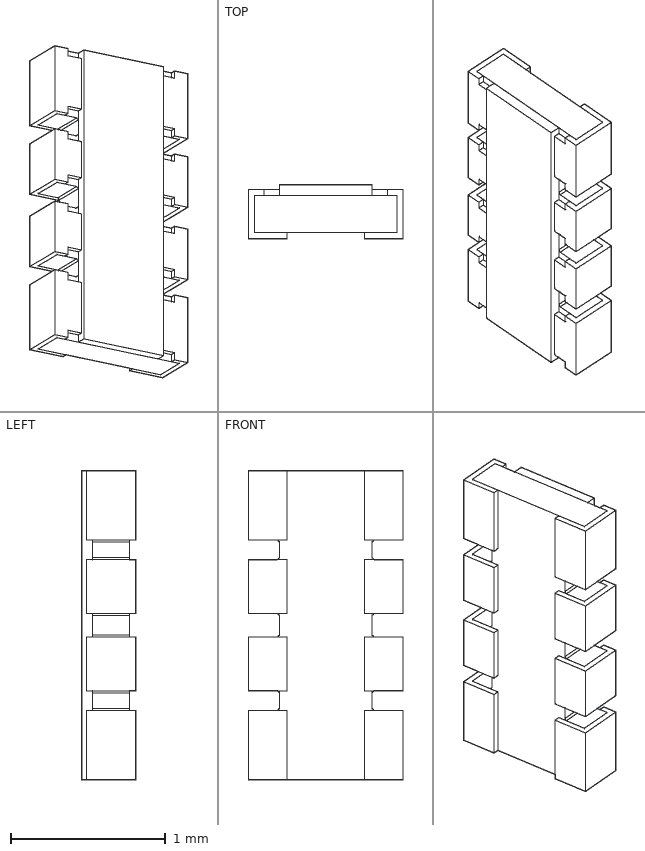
import cadquery as cq

length = 2.0
overall_width = 1.0
overall_depth = 0.35

plating = 0.04
front_lap = 0.25
back_lap = 0.1
tab_setback = 0.05
end_terminal_length = 0.45
inner_terminal_length = 0.35
middle_gap = 0.15

coating_width = 0.6
coating_thickness = 0.07
notch_floor_width = coating_width
notch_corner = 0.0125

substrate_width = overall_width - 2 * plating
substrate_depth = overall_depth - plating - coating_thickness
front_y = -overall_depth / 2
substrate_front_y = front_y + plating
substrate_back_y = substrate_front_y + substrate_depth
terminal_back_y = substrate_back_y + plating

outer_gap = length / 2 - middle_gap / 2 - inner_terminal_length - end_terminal_length
inner_terminal_z = (middle_gap + inner_terminal_length) / 2
end_terminal_z = (length - end_terminal_length) / 2
outer_notch_z = middle_gap / 2 + inner_terminal_length + outer_gap / 2

terminal_rows = [
    (-end_terminal_z, end_terminal_length),
    (-inner_terminal_z, inner_terminal_length),
    (inner_terminal_z, inner_terminal_length),
    (end_terminal_z, end_terminal_length),
]
notch_rows = [
    (-outer_notch_z, outer_gap),
    (0, middle_gap),
    (outer_notch_z, outer_gap),
]


def make_notch(side, center_z, height):
    """Cutter for one edge notch with chamfered inner corners; side is -1 or +1 along X."""
    edge_x = side * overall_width / 2
    floor_x = side * notch_floor_width / 2
    corner_x = floor_x + side * notch_corner
    half_height = height / 2
    half_floor = half_height - notch_corner
    outline = [
        (edge_x, center_z - half_height),
        (corner_x, center_z - half_height),
        (floor_x, center_z - half_floor),
        (floor_x, center_z + half_floor),
        (corner_x, center_z + half_height),
        (edge_x, center_z + half_height),
    ]
    return (
        cq.Workplane("XZ", origin=(0, substrate_front_y, 0))
        .polyline(outline)
        .close()
        .extrude(-substrate_depth)
    )


def make_substrate():
    """Ceramic block with three notches along each long edge."""
    block = cq.Workplane("XY").box(substrate_width, substrate_depth, length)
    block = block.translate((0, (substrate_front_y + substrate_back_y) / 2, 0))
    for side in (-1, 1):
        for center_z, height in notch_rows:
            block = block.cut(make_notch(side, center_z, height))
    return block


def make_coating():
    """Flat protective strip on the back face of the substrate."""
    strip = cq.Workplane("XY").box(coating_width, coating_thickness, length)
    return strip.translate((0, substrate_back_y + coating_thickness / 2, 0))


def make_tab(back_lap_x, side, center_z, terminal_length):
    """Narrower tongue that carries the back lap of a terminal on to the coating."""
    tab_reach = abs(back_lap_x) - coating_width / 2
    tab = cq.Workplane("XY").box(tab_reach, plating, terminal_length - 2 * tab_setback)
    return tab.translate((back_lap_x - side * tab_reach / 2, substrate_back_y + plating / 2, center_z))


def make_terminal(side, center_z, terminal_length):
    """C-shaped plating round one edge of the substrate, with a back tab; side is -1 or +1 along X."""
    outer_x = side * overall_width / 2
    inner_x = side * substrate_width / 2
    front_lap_x = outer_x - side * front_lap
    back_lap_x = outer_x - side * back_lap
    outline = [
        (outer_x, front_y),
        (front_lap_x, front_y),
        (front_lap_x, substrate_front_y),
        (inner_x, substrate_front_y),
        (inner_x, substrate_back_y),
        (back_lap_x, substrate_back_y),
        (back_lap_x, terminal_back_y),
        (outer_x, terminal_back_y),
    ]
    shell = (
        cq.Workplane("XY", origin=(0, 0, center_z - terminal_length / 2))
        .polyline(outline)
        .close()
        .extrude(terminal_length)
    )
    return shell.union(make_tab(back_lap_x, side, center_z, terminal_length))


substrate = make_substrate()
coating = make_coating()
terminals = [
    make_terminal(side, center_z, terminal_length)
    for side in (-1, 1)
    for center_z, terminal_length in terminal_rows
]

result = cq.Compound.makeCompound(
    [substrate.val(), coating.val(), *[terminal.val() for terminal in terminals]]
)